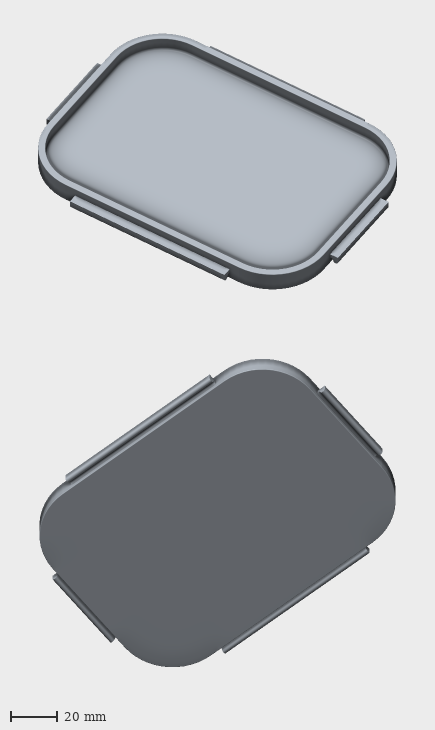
import cadquery as cq
import math

overall_length = 151.0
overall_width = 111.0
clip_reach = 4.1
length = overall_length - 2 * clip_reach
width = overall_width - 2 * clip_reach
height = 9.5
corner_radius = 26.6
edge_round = 0.3

wall = 3.2
floor_thickness = 3.0
floor_round = 1.0

long_clip = 80.0
short_clip = 40.0
clip_top = 5.5
clip_height = 4.1
tip_radius = 1.2
groove_radius = 0.6
groove_gap = 0.8
groove_peak_rise = 2.1
flank_angle = math.radians(60)
embed = 0.8


def rounded_block(inset, bottom, top):
    """Rounded rectangle block, inset evenly from the outer wall of the tray."""
    return (
        cq.Workplane("XY")
        .workplane(offset=bottom)
        .rect(length - 2 * inset, width - 2 * inset)
        .extrude(top - bottom)
        .edges("|Z")
        .fillet(corner_radius - inset)
    )


def clip(span, body_half, turn):
    """Hooked strip on one side; the profile runs outward along +X before turning."""
    outer = body_half + clip_reach
    bottom = clip_top - clip_height
    tip_x = outer - tip_radius
    tip_z = bottom + tip_radius
    groove_x = body_half + groove_gap
    groove_peak_z = bottom + groove_peak_rise
    groove_z = groove_peak_z - groove_radius

    across = math.sin(flank_angle)
    rise = math.cos(flank_angle)
    groove_end_x = groove_x - groove_radius * across
    groove_end_z = groove_z + groove_radius * rise
    root_z = groove_end_z - (groove_end_x - body_half) * math.tan(flank_angle)
    return (
        cq.Workplane("XZ")
        .moveTo(body_half - embed, clip_top)
        .lineTo(outer, clip_top)
        .lineTo(outer, tip_z)
        .threePointArc((tip_x, bottom), (tip_x - tip_radius * across, tip_z - tip_radius * rise))
        .lineTo(groove_x + groove_radius * across, groove_end_z)
        .threePointArc((groove_x, groove_peak_z), (groove_end_x, groove_end_z))
        .lineTo(body_half, root_z)
        .lineTo(body_half - embed, root_z)
        .close()
        .extrude(span / 2, both=True)
        .rotate((0, 0, 0), (0, 0, 1), turn)
    )


recess = rounded_block(wall, floor_thickness, height).faces("<Z").edges().fillet(floor_round)
body = rounded_block(0, 0, height).cut(recess)
body = body.faces("<Z or >Z").edges().fillet(edge_round)

result = body
for turn in (0, 180):
    result = result.union(clip(short_clip, length / 2, turn))
    result = result.union(clip(long_clip, width / 2, turn + 90))